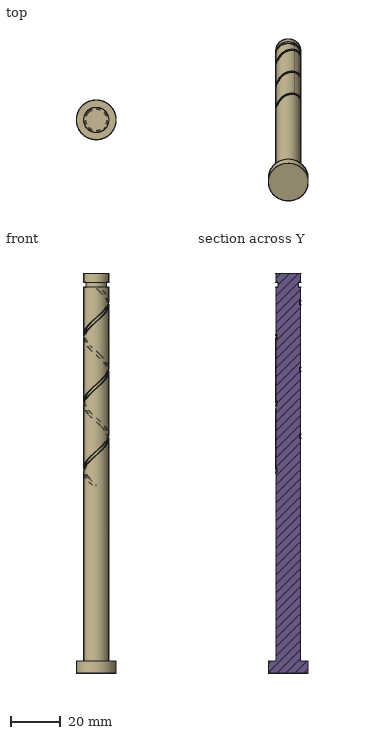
import cadquery as cq

total_length = 160.0
head_diameter = 16.0
head_height = 5.0
shaft_diameter = 10.0

tip_length = 3.5
ring_groove_width = 2.0
ring_groove_diameter = 8.3

spiral_pitch = 26.7
spiral_turns = 3
spiral_groove_height = 1.6
spiral_groove_depth = 0.5
spiral_start_angle = 90.0
spiral_start = 74.7

shaft_radius = shaft_diameter / 2
ring_groove_top = total_length - tip_length
ring_groove_bottom = ring_groove_top - ring_groove_width
spiral_height = spiral_pitch * spiral_turns


def make_pin():
    head = cq.Workplane("XY").circle(head_diameter / 2).extrude(head_height)
    shaft = cq.Workplane("XY").circle(shaft_radius).extrude(total_length)
    return head.union(shaft)


def make_ring_cutter():
    return (
        cq.Workplane("XY", origin=(0, 0, ring_groove_bottom))
        .circle(head_diameter / 2)
        .circle(ring_groove_diameter / 2)
        .extrude(ring_groove_width)
    )


def make_spiral_cutter():
    path = cq.Wire.makeHelix(spiral_pitch, spiral_height, shaft_radius)
    cutter = (
        cq.Workplane("XZ", origin=(shaft_radius, 0, 0))
        .rect(2 * spiral_groove_depth, spiral_groove_height)
        .sweep(cq.Workplane(path), isFrenet=True)
    )
    return cutter.rotate((0, 0, 0), (0, 0, 1), spiral_start_angle).translate((0, 0, spiral_start))


result = make_pin().cut(make_spiral_cutter()).cut(make_ring_cutter())